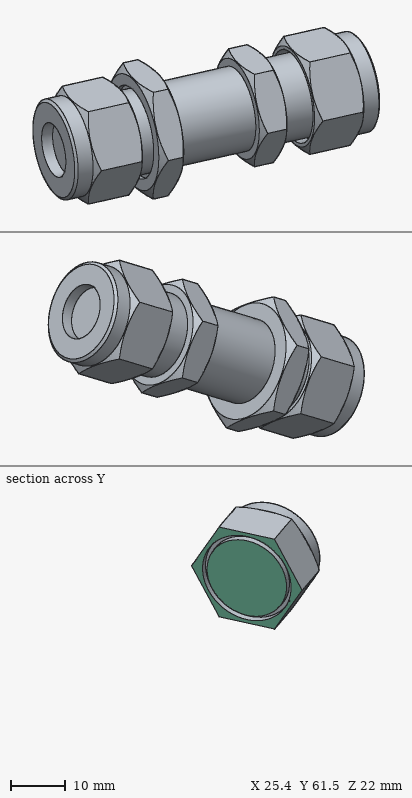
import cadquery as cq
import math

LENGTH = 61.5
BODY_DIAMETER = 15.85

BEVEL_ANGLE = 30.0
BEVEL_INSET = 0.1

NUT_FLATS = 19.05
NUT_HEX_LENGTH = 9.95
COLLAR_DIAMETER = NUT_FLATS - 2 * BEVEL_INSET
COLLAR_LENGTH = 3.45
COLLAR_CHAMFER_LENGTH = 0.4
COLLAR_CHAMFER_WIDTH = 0.55

RELIEF_DIAMETER = 17.45
NUT_RELIEF_DEPTH = 2.45
BULKHEAD_RELIEF_DEPTH = 1.0

SOCKET_MOUTH_DIAMETER = 10.2
SOCKET_FLOOR_DIAMETER = 9.95
SOCKET_DEPTH = 2.15

LOCKNUT_FLATS = 19.05
LOCKNUT_START = 6.2
LOCKNUT_LENGTH = 5.6
BULKHEAD_FLATS = 22.0
BULKHEAD_START = -14.75
BULKHEAD_LENGTH = 5.05


def section_plane(y):
    """Workplane across the part's axis at the given Y position."""
    return cq.Workplane("XZ", origin=(0, y, 0))


def cylinder(start, length, diameter):
    """Cylinder along +Y from the given start position."""
    return section_plane(start).circle(diameter / 2).extrude(-length)


def bevelled_hexagon(start, length, flats):
    """Hexagon along +Y, two corners on the X axis, with both ends bevelled by a cone."""
    corners = flats / math.cos(math.radians(30))
    bevel_width = (corners - flats) / 2 + BEVEL_INSET
    bevel_length = bevel_width * math.tan(math.radians(BEVEL_ANGLE))
    prism = section_plane(start).polygon(6, corners).extrude(-length)
    envelope = cylinder(start, length, corners).faces("<Y or >Y").chamfer(bevel_length, bevel_width)
    return prism.intersect(envelope)


def tube_socket(mouth):
    """Tapered socket shape that widens along +Y to its mouth."""
    floor = section_plane(mouth - SOCKET_DEPTH).circle(SOCKET_FLOOR_DIAMETER / 2)
    return floor.workplane(offset=-SOCKET_DEPTH).circle(SOCKET_MOUTH_DIAMETER / 2).loft()


def compression_nut():
    """Nut at the +Y end: bevelled hexagon, collar, inner relief and tube socket."""
    end = LENGTH / 2
    hex_end = end - COLLAR_LENGTH
    hex_start = hex_end - NUT_HEX_LENGTH
    hexagon = bevelled_hexagon(hex_start, NUT_HEX_LENGTH, NUT_FLATS)
    collar = cylinder(hex_end, COLLAR_LENGTH, COLLAR_DIAMETER)
    collar = collar.faces(">Y").chamfer(COLLAR_CHAMFER_LENGTH, COLLAR_CHAMFER_WIDTH)
    relief = cylinder(hex_start, NUT_RELIEF_DEPTH, RELIEF_DIAMETER)
    return hexagon.union(collar).cut(relief).cut(tube_socket(end))


def bulkhead_hexagon():
    """Fixed hexagon of the body, with a relief groove around the body in its -Y face."""
    relief = cylinder(BULKHEAD_START, BULKHEAD_RELIEF_DEPTH, RELIEF_DIAMETER)
    return bevelled_hexagon(BULKHEAD_START, BULKHEAD_LENGTH, BULKHEAD_FLATS).cut(relief)


body_length = LENGTH - 2 * SOCKET_DEPTH - 2 * COLLAR_LENGTH
body = cylinder(-body_length / 2, body_length, BODY_DIAMETER)
locknut = bevelled_hexagon(LOCKNUT_START, LOCKNUT_LENGTH, LOCKNUT_FLATS)
nut = compression_nut()
opposite_nut = nut.mirror("XZ")

result = body.union(bulkhead_hexagon()).union(locknut).union(nut).union(opposite_nut)